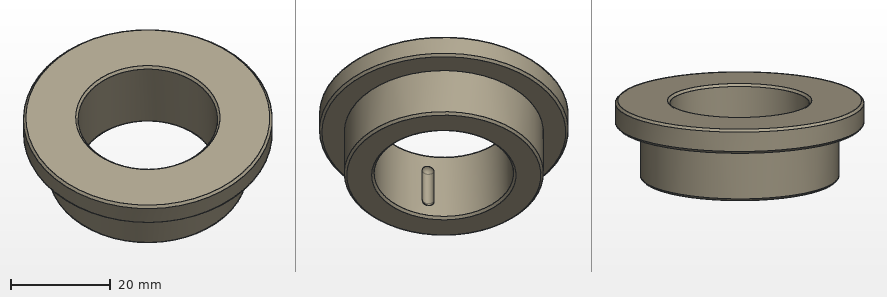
import cadquery as cq
import math

flange_diameter = 50
sleeve_diameter = 40
bore_diameter = 28
total_height = 16
flange_thickness = 5
edge_chamfer = 0.5

pocket_width = 2.5
pocket_length = 10
pocket_depth = 1

sleeve_height = total_height - flange_thickness


def chamfered_disc(diameter, bottom, height, chamfered_edges):
    disc = cq.Workplane("XY").workplane(offset=bottom).circle(diameter / 2).extrude(height)
    return disc.edges(chamfered_edges).chamfer(edge_chamfer)


def bore_pocket():
    """Upright capsule, reaching the pocket depth into the bore wall at mid-height."""
    radius = pocket_width / 2
    half_length = pocket_length / 2
    half_straight = half_length - radius
    diagonal = radius * math.sqrt(0.5)
    half_profile = (
        cq.Workplane("XZ")
        .moveTo(0, -half_length)
        .threePointArc((diagonal, -half_straight - diagonal), (radius, -half_straight))
        .lineTo(radius, half_straight)
        .threePointArc((diagonal, half_straight + diagonal), (0, half_length))
        .close()
    )
    capsule = half_profile.revolve(360, (0, 0), (0, 1))
    axis_offset = bore_diameter / 2 + pocket_depth - radius
    return capsule.translate((axis_offset, 0, total_height / 2))


flange = chamfered_disc(flange_diameter, sleeve_height, flange_thickness, "%CIRCLE")
sleeve = chamfered_disc(sleeve_diameter, 0, sleeve_height, "<Z")
body = sleeve.union(flange)

body = body.cut(cq.Workplane("XY").circle(bore_diameter / 2).extrude(total_height))
rims = body.faces("<Z or >Z").edges(cq.selectors.RadiusNthSelector(0))
body = rims.chamfer(edge_chamfer)

result = body.cut(bore_pocket())